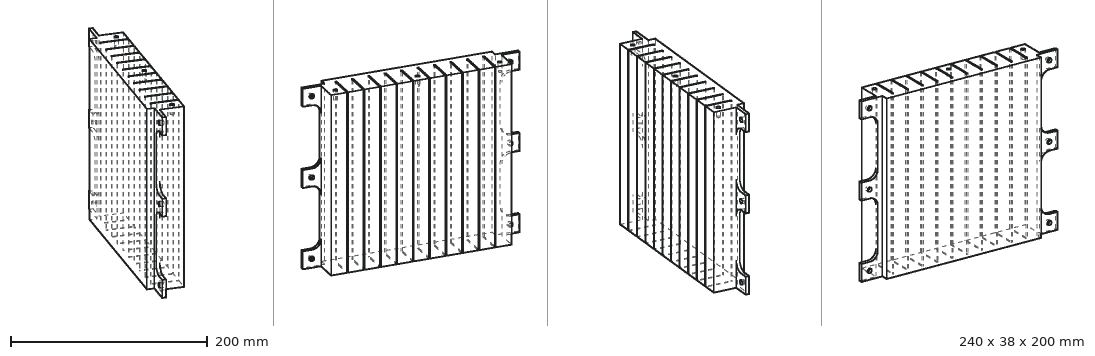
import cadquery as cq
import math

OVERALL_WIDTH = 240.0
OVERALL_DEPTH = 38.0
HEIGHT = 200.0

BLOCK_WIDTH = 200.0
PLATE_WIDTH = 189.0
PLATE_DEPTH = 8.0

FLANGE_THICKNESS = 4.0
TAB_LENGTH = (OVERALL_WIDTH - BLOCK_WIDTH) / 2
TAB_HEIGHT = 20.0
TAB_FILLET = 10.0
TAB_HOLE_DIAMETER = 5.0

FIN_COUNT = 11
SLOT_WIDTH = 1.5
SLOT_PITCH = BLOCK_WIDTH / FIN_COUNT

TOP_HOLE_DIAMETER = 4.3
TOP_HOLE_DEPTH = 10.0
TOP_HOLE_SPACING = 91.0
TOP_HOLE_FROM_BACK = 10.0
DRILL_POINT_ANGLE = 118

FLANGE_FRONT = PLATE_DEPTH
FLANGE_BACK = FLANGE_FRONT + FLANGE_THICKNESS


def slab(width, y_front, y_back):
    """Full-height box centred on X, with its base at Z = 0."""
    depth = y_back - y_front
    return (
        cq.Workplane("XY")
        .box(width, depth, HEIGHT, centered=(True, False, False))
        .translate((0, y_front, 0))
    )


def tab_cutouts():
    """Openings between the tabs, rounded where they meet the block."""
    opening_height = (HEIGHT - 3 * TAB_HEIGHT) / 2
    opening_offset = (opening_height + TAB_HEIGHT) / 2
    cutter_length = 2 * TAB_LENGTH
    cutter_x = BLOCK_WIDTH / 2 + cutter_length / 2
    centres = [
        (side * cutter_x, HEIGHT / 2 + level * opening_offset)
        for side in (-1, 1)
        for level in (-1, 1)
    ]
    return (
        cq.Workplane("XZ", origin=(0, FLANGE_BACK, 0))
        .pushPoints(centres)
        .rect(cutter_length, opening_height)
        .extrude(FLANGE_THICKNESS)
        .edges("|Y")
        .fillet(TAB_FILLET)
    )


def tab_holes():
    """One through hole in the middle of each tab."""
    hole_x = (OVERALL_WIDTH - TAB_LENGTH) / 2
    hole_levels = (TAB_HEIGHT / 2, HEIGHT / 2, HEIGHT - TAB_HEIGHT / 2)
    centres = [(side * hole_x, level) for side in (-1, 1) for level in hole_levels]
    return (
        cq.Workplane("XZ", origin=(0, FLANGE_BACK, 0))
        .pushPoints(centres)
        .circle(TAB_HOLE_DIAMETER / 2)
        .extrude(FLANGE_THICKNESS)
    )


def fin_slots():
    """Slots open at the back and at both ends, ending level with the flange front."""
    slot_depth = OVERALL_DEPTH - FLANGE_FRONT
    slot_y = FLANGE_FRONT + slot_depth / 2
    return (
        cq.Workplane("XY")
        .center(0, slot_y)
        .rarray(SLOT_PITCH, 2.5, FIN_COUNT - 1, 1)
        .rect(SLOT_WIDTH, slot_depth)
        .extrude(HEIGHT)
    )


def top_holes():
    """Row of three drilled holes going down from the top face."""
    radius = TOP_HOLE_DIAMETER / 2
    point_depth = radius / math.tan(math.radians(DRILL_POINT_ANGLE / 2))
    hole_y = OVERALL_DEPTH - TOP_HOLE_FROM_BACK
    half_profile = [
        (0, 0),
        (radius, 0),
        (radius, -TOP_HOLE_DEPTH),
        (0, -TOP_HOLE_DEPTH - point_depth),
    ]
    drilled_hole = cq.Workplane("XZ").polyline(half_profile).close().revolve(360, (0, 0), (0, 1))
    holes = cq.Workplane("XY")
    for index in (-1, 0, 1):
        holes = holes.add(drilled_hole.translate((index * TOP_HOLE_SPACING, hole_y, HEIGHT)))
    return holes.combine()


plate = slab(PLATE_WIDTH, 0, FLANGE_FRONT)
block = slab(BLOCK_WIDTH, FLANGE_FRONT, OVERALL_DEPTH)
flange = slab(OVERALL_WIDTH, FLANGE_FRONT, FLANGE_BACK).cut(tab_cutouts()).cut(tab_holes())

result = plate.union(block).union(flange).cut(fin_slots()).cut(top_holes())